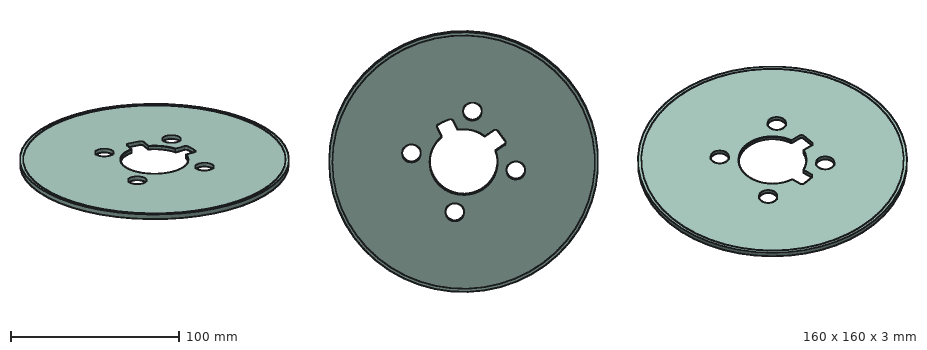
import cadquery as cq

outer_diameter = 160.0
rim_thickness = 3.0
core_thickness = 2.5
core_diameter = 156.0

bore_radius = 20.0
bore_chamfer = 0.3

keyway_width = 11.0
tilted_keyway_width = 10.4
keyway_reach = 27.5
keyway_corner_radius = 1.6
tilted_keyway_angle = 100.0

bolt_hole_diameter = 11.0
bolt_hole_spacing = 44.5


def make_core_blank():
    """Flat disc with the bore, chamfered at both ends."""
    blank = cq.Workplane("XY").circle(core_diameter / 2).circle(bore_radius).extrude(core_thickness)
    return blank.faces("|Z").edges(cq.selectors.RadiusNthSelector(0)).chamfer(bore_chamfer)


def make_straight_keyway():
    """Cutter along -X with a flat floor and rounded corners."""
    return (
        cq.Workplane("XY")
        .center(-keyway_reach / 2, 0)
        .rect(keyway_reach, keyway_width)
        .extrude(core_thickness)
        .edges("|Z and <X")
        .fillet(keyway_corner_radius)
    )


def make_tilted_keyway():
    """Cutter with parallel sides and a floor that is an arc about the disc axis."""
    strip = (
        cq.Workplane("XY")
        .center(keyway_reach / 2, 0)
        .rect(keyway_reach, tilted_keyway_width)
        .extrude(core_thickness)
    )
    floor_disc = cq.Workplane("XY").circle(keyway_reach).extrude(core_thickness)
    cutter = strip.intersect(floor_disc).edges("|Z and (not <X)").fillet(keyway_corner_radius)
    return cutter.rotate((0, 0, 0), (0, 0, 1), tilted_keyway_angle)


def make_bolt_holes():
    """Four cutters on a square about the disc axis."""
    return (
        cq.Workplane("XY")
        .rect(bolt_hole_spacing, bolt_hole_spacing, forConstruction=True)
        .vertices()
        .circle(bolt_hole_diameter / 2)
        .extrude(core_thickness)
    )


def make_core():
    core = make_core_blank()
    for cutter in (make_straight_keyway(), make_tilted_keyway(), make_bolt_holes()):
        core = core.cut(cutter)
    return core.translate((0, 0, (rim_thickness - core_thickness) / 2))


def make_rim():
    """Plain ring around the core."""
    return cq.Workplane("XY").circle(outer_diameter / 2).circle(core_diameter / 2).extrude(rim_thickness)


core = make_core()
rim = make_rim()
result = cq.Compound.makeCompound([core.val(), rim.val()])